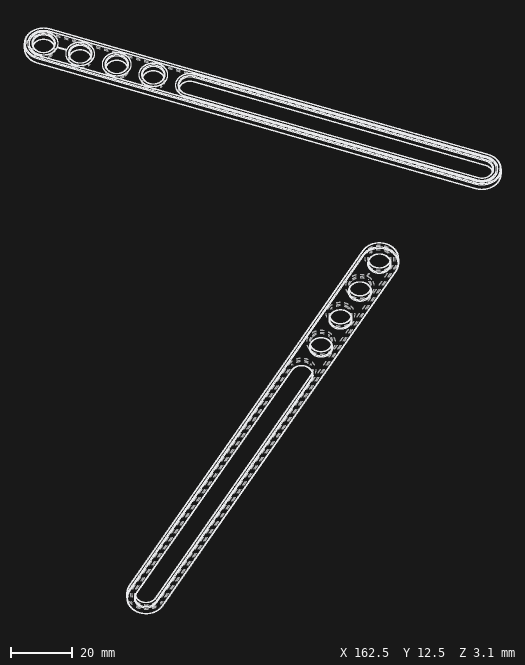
import cadquery as cq

length = 162.5
width = 12.5
thickness = 3.1

hole_diameter = 7.0
hole_count = 4
hole_pitch = width
first_hole_x = -(length - width) / 2
hole_centers = [(first_hole_x + i * hole_pitch, 0) for i in range(hole_count)]

slot_width = hole_diameter
slot_start_x = first_hole_x + hole_count * hole_pitch
slot_end_x = -first_hole_x

edge_chamfer = 0.3

rim_width = 1.1
recess_depth = 0.2

rib_width = 0.2


def rounded_bar(start_x, end_x, bar_width, height):
    """Bar with round ends centred on start_x and end_x, standing on Z = 0."""
    return (
        cq.Workplane("XY")
        .center((start_x + end_x) / 2, 0)
        .slot2D(end_x - start_x + bar_width, bar_width)
        .extrude(height)
    )


def openings(margin):
    """Solid filling the holes and the slot, grown outward by the margin."""
    holes = (
        cq.Workplane("XY")
        .pushPoints(hole_centers)
        .circle(hole_diameter / 2 + margin)
        .extrude(thickness)
    )
    slot = rounded_bar(slot_start_x, slot_end_x, slot_width + 2 * margin, thickness)
    return holes.union(slot)


def chamfered_bar():
    """Full-height bar with its holes and slot, chamfered on both faces."""
    bar = rounded_bar(first_hole_x, slot_end_x, width, thickness).cut(openings(margin=0))
    return bar.faces("<Z or >Z").edges().chamfer(edge_chamfer)


def rib():
    """Strip running between the centres of the first two holes."""
    middle_x = first_hole_x + hole_pitch / 2
    return cq.Workplane("XY").center(middle_x, 0).rect(hole_pitch, rib_width).extrude(thickness)


def recess():
    """Shallow pocket in the top face that leaves the rims and the rib standing."""
    pocket = rounded_bar(first_hole_x, slot_end_x, width - 2 * rim_width, recess_depth)
    pocket = pocket.translate((0, 0, thickness - recess_depth))
    return pocket.cut(openings(rim_width)).cut(rib())


result = chamfered_bar().cut(recess())